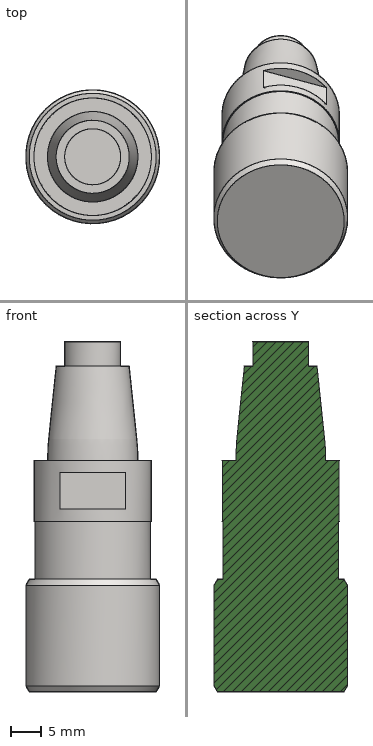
import math

import cadquery as cq

collar_diameter = 22.0
collar_height = 18.5
chamfer_height = 1.0
chamfer_angle = math.radians(30)
chamfer_width = chamfer_height * math.tan(chamfer_angle)

neck_diameter = 19.0
neck_top = 28.0
wrench_diameter = 19.3
wrench_top = 38.0
wrench_across_flats = 16.0
flat_height = 6.0

foot_height = 3.5
taper_height = 12.0
taper_bottom_diameter = 14.5
taper_top_diameter = 12.0
taper_bottom = wrench_top + foot_height
taper_top = taper_bottom + taper_height

cable_diameter = 9.2
overall_height = 57.5


def cylinder(diameter, bottom, top):
    """Vertical cylinder on the Z axis between two heights."""
    return cq.Workplane("XY").workplane(offset=bottom).circle(diameter / 2).extrude(top - bottom)


def make_collar():
    """Wide collar with the same steep chamfer on both rims."""
    radius = collar_diameter / 2
    rim_radius = radius - chamfer_width
    profile = (
        cq.Workplane("XZ")
        .lineTo(rim_radius, 0)
        .lineTo(radius, chamfer_height)
        .lineTo(radius, collar_height - chamfer_height)
        .lineTo(rim_radius, collar_height)
        .lineTo(0, collar_height)
        .close()
    )
    return profile.revolve(360, (0, 0), (0, 1))


def make_wrench_section():
    """Cylinder with two opposite flat pockets facing -Y and +Y."""
    section = cylinder(wrench_diameter, neck_top, wrench_top)
    flat_depth = (wrench_diameter - wrench_across_flats) / 2
    flat_middle = (neck_top + wrench_top) / 2
    for side in (-1, 1):
        cutter = cq.Workplane("XY").box(wrench_diameter, flat_depth, flat_height)
        pocket_y = side * (wrench_across_flats + flat_depth) / 2
        section = section.cut(cutter.translate((0, pocket_y, flat_middle)))
    return section


def make_strain_relief():
    """Cone on a foot whose arc is vertical at its base and tangent to the cone."""
    top_radius = taper_top_diameter / 2
    bottom_radius = taper_bottom_diameter / 2
    taper_angle = math.atan2(bottom_radius - top_radius, taper_height)
    arc_radius = foot_height / math.sin(taper_angle)
    base_radius = bottom_radius + arc_radius * (1 - math.cos(taper_angle))
    half_angle = taper_angle / 2
    arc_middle = (
        base_radius - arc_radius * (1 - math.cos(half_angle)),
        wrench_top + arc_radius * math.sin(half_angle),
    )
    profile = (
        cq.Workplane("XZ")
        .moveTo(0, wrench_top)
        .lineTo(base_radius, wrench_top)
        .threePointArc(arc_middle, (bottom_radius, taper_bottom))
        .lineTo(top_radius, taper_top)
        .lineTo(0, taper_top)
        .close()
    )
    return profile.revolve(360, (0, 0), (0, 1))


result = (
    make_collar()
    .union(cylinder(neck_diameter, collar_height, neck_top))
    .union(make_wrench_section())
    .union(make_strain_relief())
    .union(cylinder(cable_diameter, taper_top, overall_height))
)